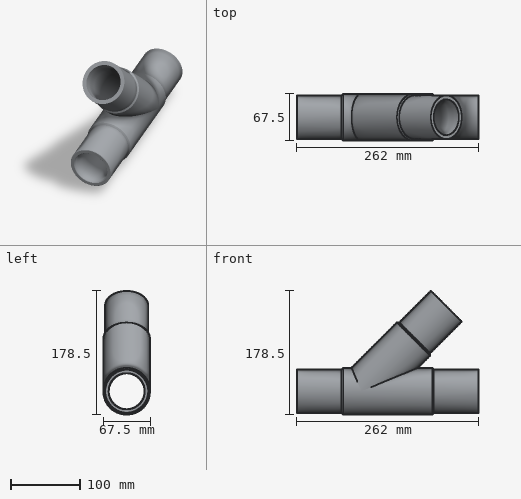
import cadquery as cq
import math

run_length = 262.0
pipe_diameter = 63.0
bore_diameter = 51.4
body_diameter = 67.5
body_length = 133.0
branch_angle = 45.0
branch_length = 173.2
branch_body_length = 108.7
branch_origin_x = -38.0
rim_chamfer = 0.5

body_chamfer = (body_diameter - pipe_diameter) / 2

lean = math.radians(branch_angle)
run_direction = cq.Vector(1, 0, 0)
branch_direction = cq.Vector(math.cos(lean), 0, math.sin(lean))
run_start = cq.Vector(-run_length / 2, 0, 0)
body_start = cq.Vector(-body_length / 2, 0, 0)
branch_start = cq.Vector(branch_origin_x, 0, 0)


def cylinder(diameter, length, start, direction):
    """Solid cylinder of the given length, from start along direction."""
    solid = cq.Solid.makeCylinder(diameter / 2, length, start, direction)
    return cq.Workplane(obj=solid)


run_pipe = cylinder(pipe_diameter, run_length, run_start, run_direction)
run_body = cylinder(body_diameter, body_length, body_start, run_direction)
run_body = run_body.faces("<X or >X").edges().chamfer(body_chamfer)

branch_pipe = cylinder(pipe_diameter, branch_length, branch_start, branch_direction)
branch_body = cylinder(body_diameter, branch_body_length, branch_start, branch_direction)
branch_end = cq.selectors.DirectionMinMaxSelector(branch_direction)
branch_body = branch_body.faces(branch_end).edges().chamfer(body_chamfer)

run_bore = cylinder(bore_diameter, run_length, run_start, run_direction)
branch_bore = cylinder(bore_diameter, branch_length, branch_start, branch_direction)

outside = run_body.union(branch_body).union(run_pipe).union(branch_pipe)
result = outside.cut(run_bore).cut(branch_bore)

result = result.faces("<X or >X").edges().chamfer(rim_chamfer)